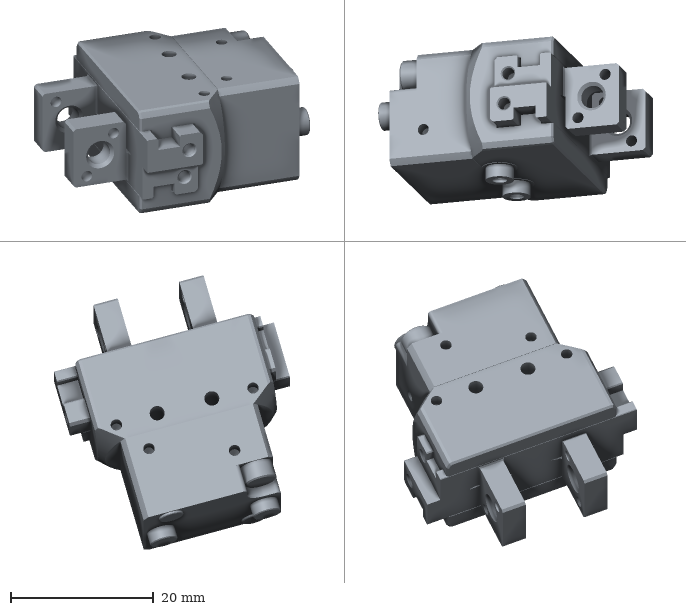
import cadquery as cq
import math


OVERALL_WIDTH = 32.0
OVERALL_DEPTH = 34.9
OVERALL_HEIGHT = 17.8

HEAD_WIDTH = 26.0
HEAD_DEPTH = 12.95
HEAD_HEIGHT = 15.85
HEAD_TURNED_RADIUS = 14.75
HEAD_BEVEL_WIDTH = 0.35
HEAD_BEVEL_HEIGHT = 0.1
FRONT_CHAMFER = 0.28
BLOCK_WIDTH = 19.95
BLOCK_HEIGHT = 16.0
BLOCK_TURNED_RADIUS = 12.25
REAR_Y = 24.95
TURNED_CHAMFER = HEAD_TURNED_RADIUS - BLOCK_TURNED_RADIUS

NOTCH_X = -7.5
NOTCH_Z = 5.48
NOTCH_RADIUS = 2.4
NOTCH_FRONT_Y = 20.97
NOTCH_EDGE_FILLET = 0.55
SCREW_RADIUS = 2.3
SCREW_LENGTH = 2.6
SCREW_CHAMFER = 0.2

PIN_RADIUS = 2.0
PIN_CHAMFER = 0.15
REAR_PIN_X = 7.5
THROUGH_X = 3.98
THROUGH_Y = 10.6
THROUGH_DIAMETER = 2.1
COLLAR_RADIUS = 2.5
SEAL_OFFSET = 6.0
SEAL_RADIUS = 1.75
SEAL_HEIGHT = 0.35
SEAL_CHAMFER = 0.1

BLIND_DIAMETER = 1.6
BLIND_DEPTH = 2.1
DRILL_TIP_ANGLE = 118
HEAD_HOLE_X = 9.95
HEAD_HOLE_Y = 10.7
BLOCK_HOLES = [(-5.0, 18.8), (6.5, 15.32)]
SIDE_HOLE_Y = 19.95
SIDE_HOLE_Z = -3.25

BAR_LENGTH = 30.0
BAR_HEIGHT = 5.03
BAR_DEPTH = 8.27
BAR_REAR_CHAMFER = 0.42
BAR_EDGE_CHAMFER = 0.17
BAR_FRONT_CHAMFER = 0.1
SLOT_FRONT_Y = 1.6
SLOT_REAR_Y = 4.85
SLOT_FLOOR_Z = 3.28
GUIDE_CLEARANCE = 0.17
BAR_HOLE_Y = 6.28
BAR_HOLE_DIAMETER = 1.75
BAR_HOLE_MOUTH = 2.13
BAR_HOLE_DEPTH = 2.8

FINGER_X = -6.25
FINGER_WIDTH = 3.52
FINGER_HEIGHT = 9.0
FINGER_CHAMFER = 0.35
FINGER_GAP = 0.28
FINGER_BORE_Y = -4.12
FINGER_BORE_DIAMETER = 3.28
FINGER_BORE_MOUTH = 4.2
DOWEL_DIAMETER = 1.6
DOWEL_OFFSET_Y = 2.0
DOWEL_OFFSET_Z = 3.0
ROOT_Z = 0.3
ROOT_CHAMFER = 0.2
SCOOP_RADIUS = 7.33
SCOOP_HALF_CHORD = 2.5

COLLAR_HEIGHT = (BLOCK_HEIGHT - HEAD_HEIGHT) / 2
SLEEVE_HEIGHT = OVERALL_HEIGHT - BLOCK_HEIGHT + COLLAR_HEIGHT
REAR_PIN_LENGTH = 1.8
FINGER_LENGTH = OVERALL_DEPTH - REAR_Y - REAR_PIN_LENGTH


def box(x0, x1, y0, y1, z0, z1):
    """Box between two opposite corners."""
    return cq.Workplane("XY").box(x1 - x0, y1 - y0, z1 - z0, centered=False).translate((x0, y0, z0))


def cylinder(radius, length, start, direction):
    """Cylinder from a start point along a direction."""
    return cq.Workplane(cq.Solid.makeCylinder(radius, length, cq.Vector(*start), cq.Vector(*direction)))


def cone(radius_start, radius_end, length, start, direction):
    """Truncated or pointed cone from a start point along a direction."""
    return cq.Workplane(
        cq.Solid.makeCone(radius_start, radius_end, length, cq.Vector(*start), cq.Vector(*direction))
    )


def drilled(diameter, depth, start, direction):
    """Cutter for a blind hole: a straight bore that ends in a drill tip."""
    radius = diameter / 2
    tip_length = radius / math.tan(math.radians(DRILL_TIP_ANGLE / 2))
    tip_start = [s + depth * d for s, d in zip(start, direction)]
    bore = cylinder(radius, depth, start, direction)
    return bore.union(cone(radius, 0, tip_length, tip_start, direction))


def countersink(mouth, diameter, start, direction):
    """Cutter for a 45 degree countersink."""
    return cone(mouth / 2, diameter / 2, (mouth - diameter) / 2, start, direction)


def head():
    """Wide front block, its corners turned about Y and its rear rim turned at 45 degrees."""
    half_width = HEAD_WIDTH / 2
    half_height = HEAD_HEIGHT / 2
    turned = cylinder(HEAD_TURNED_RADIUS, HEAD_DEPTH, (0, 0, 0), (0, 1, 0))
    turned = turned.faces(">Y").chamfer(TURNED_CHAMFER)
    body = box(-half_width, half_width, 0, HEAD_DEPTH, -half_height, half_height).intersect(turned)

    edge_x = math.sqrt(HEAD_TURNED_RADIUS**2 - half_height**2)
    flat_x = edge_x - HEAD_BEVEL_WIDTH
    bevel_slope = HEAD_BEVEL_HEIGHT / HEAD_BEVEL_WIDTH
    outer_z = half_height - bevel_slope * (half_width - flat_x)
    bevelled = (
        cq.Workplane("XZ")
        .polyline([
            (-flat_x, half_height), (flat_x, half_height), (half_width, outer_z), (half_width, -outer_z),
            (flat_x, -half_height), (-flat_x, -half_height), (-half_width, -outer_z), (-half_width, outer_z),
        ])
        .close()
        .extrude(-HEAD_DEPTH)
    )
    return body.intersect(bevelled).faces("<Y").chamfer(FRONT_CHAMFER)


def rear_block():
    """Narrow rear block with its long corners turned about Y."""
    turned = cylinder(BLOCK_TURNED_RADIUS, REAR_Y, (0, 0, 0), (0, 1, 0))
    half_width = BLOCK_WIDTH / 2
    half_height = BLOCK_HEIGHT / 2
    block = box(-half_width, half_width, HEAD_DEPTH, REAR_Y, -half_height, half_height)
    return block.intersect(turned)


def notch():
    """Cutter for the rear corner notch: rounded inner corner and rolled-over outer edges."""
    side_x = -BLOCK_WIDTH / 2
    top_z = BLOCK_HEIGHT / 2
    wall_x = NOTCH_X + NOTCH_RADIUS
    floor_z = NOTCH_Z - NOTCH_RADIUS
    bend = NOTCH_RADIUS * math.sqrt(0.5)
    roll = NOTCH_EDGE_FILLET
    roll_mid = roll * (1 - math.sqrt(0.5))
    return (
        cq.Workplane("XZ", origin=(0, NOTCH_FRONT_Y, 0))
        .moveTo(side_x, top_z)
        .lineTo(side_x, floor_z - roll)
        .threePointArc((side_x + roll_mid, floor_z - roll_mid), (side_x + roll, floor_z))
        .lineTo(NOTCH_X, floor_z)
        .threePointArc((NOTCH_X + bend, NOTCH_Z - bend), (wall_x, NOTCH_Z))
        .lineTo(wall_x, top_z - roll)
        .threePointArc((wall_x + roll_mid, top_z - roll_mid), (wall_x + roll, top_z))
        .close()
        .extrude(NOTCH_FRONT_Y - REAR_Y)
    )


def jaw_guide():
    """Cutter for the channel across the head, leaving a tongue for each jaw slot."""
    half_width = HEAD_WIDTH / 2
    channel = box(-half_width, half_width, 0, BAR_DEPTH, -BAR_HEIGHT, BAR_HEIGHT)
    tongue_tip = SLOT_FLOOR_Z + GUIDE_CLEARANCE
    tongue_front = SLOT_FRONT_Y + GUIDE_CLEARANCE
    tongue_rear = SLOT_REAR_Y - GUIDE_CLEARANCE
    for bottom, top in [(tongue_tip, BAR_HEIGHT), (-BAR_HEIGHT, -tongue_tip)]:
        channel = channel.cut(box(-half_width, half_width, tongue_front, tongue_rear, bottom, top))
    return channel


def make_housing():
    body = head().union(rear_block()).cut(notch()).cut(jaw_guide())

    screw = cylinder(SCREW_RADIUS, SCREW_LENGTH, (NOTCH_X, NOTCH_FRONT_Y, NOTCH_Z), (0, 1, 0))
    body = body.union(screw.faces(">Y").chamfer(SCREW_CHAMFER))

    for side in (-1, 1):
        pin = cylinder(PIN_RADIUS, REAR_PIN_LENGTH, (side * REAR_PIN_X, REAR_Y, 0), (0, 1, 0))
        body = body.union(pin.faces(">Y").chamfer(PIN_CHAMFER))
        seal_start = (side * SEAL_OFFSET, REAR_Y, side * SEAL_OFFSET)
        seal = cylinder(SEAL_RADIUS, SEAL_HEIGHT, seal_start, (0, 1, 0))
        body = body.union(seal.faces(">Y").chamfer(SEAL_CHAMFER))

    head_bottom = -HEAD_HEIGHT / 2
    for x in (-THROUGH_X, THROUGH_X):
        start = (x, THROUGH_Y, head_bottom)
        sleeve = cylinder(PIN_RADIUS, SLEEVE_HEIGHT, start, (0, 0, -1))
        body = body.union(cylinder(COLLAR_RADIUS, COLLAR_HEIGHT, start, (0, 0, -1)))
        body = body.union(sleeve)
        body = body.cut(
            cylinder(THROUGH_DIAMETER / 2, HEAD_HEIGHT + SLEEVE_HEIGHT,
                     (x, THROUGH_Y, head_bottom - SLEEVE_HEIGHT), (0, 0, 1))
        )

    for x in (-HEAD_HOLE_X, HEAD_HOLE_X):
        body = body.cut(drilled(BLIND_DIAMETER, BLIND_DEPTH, (x, HEAD_HOLE_Y, HEAD_HEIGHT / 2), (0, 0, -1)))
    for x, y in BLOCK_HOLES:
        body = body.cut(drilled(BLIND_DIAMETER, BLIND_DEPTH, (x, y, BLOCK_HEIGHT / 2), (0, 0, -1)))
    side_start = (-BLOCK_WIDTH / 2, SIDE_HOLE_Y, SIDE_HOLE_Z)
    return body.cut(drilled(BLIND_DIAMETER, BLIND_DEPTH, side_start, (1, 0, 0)))


def jaw_bar():
    """Slotted bar of the upper jaw, with a countersunk blind hole in each end."""
    right_x = OVERALL_WIDTH / 2
    left_x = right_x - BAR_LENGTH
    edge = BAR_EDGE_CHAMFER
    top = BAR_HEIGHT
    bar = (
        cq.Workplane("YZ", origin=(left_x, 0, 0))
        .polyline([
            (0, 0),
            (BAR_DEPTH - edge, 0),
            (BAR_DEPTH, edge),
            (BAR_DEPTH, top - BAR_REAR_CHAMFER),
            (BAR_DEPTH - BAR_REAR_CHAMFER, top),
            (SLOT_REAR_Y + edge, top),
            (SLOT_REAR_Y, top - edge),
            (SLOT_REAR_Y, SLOT_FLOOR_Z),
            (SLOT_FRONT_Y, SLOT_FLOOR_Z),
            (SLOT_FRONT_Y, top - edge),
            (SLOT_FRONT_Y - edge, top),
            (BAR_FRONT_CHAMFER, top),
            (0, top - BAR_FRONT_CHAMFER),
        ])
        .close()
        .extrude(BAR_LENGTH)
    )
    for x, inward in [(left_x, 1), (right_x, -1)]:
        start = (x, BAR_HOLE_Y, BAR_HEIGHT / 2)
        bar = bar.cut(drilled(BAR_HOLE_DIAMETER, BAR_HOLE_DEPTH, start, (inward, 0, 0)))
        bar = bar.cut(countersink(BAR_HOLE_MOUTH, BAR_HOLE_DIAMETER, start, (inward, 0, 0)))

    scoop_y = -math.sqrt(SCOOP_RADIUS**2 - SCOOP_HALF_CHORD**2)
    scoop = cone(SCOOP_RADIUS + ROOT_Z, SCOOP_RADIUS, ROOT_Z, (FINGER_X, scoop_y, 0), (0, 0, 1))
    return bar.cut(scoop)


def jaw_finger():
    """Finger plate: joined to the bar above its root line and set off from the other jaw below it."""
    left_x = FINGER_X - FINGER_WIDTH / 2
    half_height = FINGER_HEIGHT / 2
    chamfer = FINGER_CHAMFER
    finger = (
        cq.Workplane("YZ", origin=(left_x, 0, 0))
        .polyline([
            (0, half_height),
            (0, ROOT_Z),
            (-FINGER_GAP, ROOT_Z),
            (-FINGER_GAP, chamfer - half_height),
            (-FINGER_GAP - chamfer, -half_height),
            (chamfer - FINGER_LENGTH, -half_height),
            (-FINGER_LENGTH, chamfer - half_height),
            (-FINGER_LENGTH, half_height - chamfer),
            (chamfer - FINGER_LENGTH, half_height),
        ])
        .close()
        .extrude(FINGER_WIDTH)
    )

    root_half = FINGER_WIDTH / 2 + ROOT_CHAMFER
    root_top = half_height + ROOT_CHAMFER
    root = box(FINGER_X - root_half, FINGER_X + root_half, -ROOT_CHAMFER, ROOT_CHAMFER, ROOT_Z, root_top)
    finger = finger.union(root.faces("<Y").edges("not <Z").chamfer(ROOT_CHAMFER))

    for x, inward in [(left_x, 1), (left_x + FINGER_WIDTH, -1)]:
        start = (x, FINGER_BORE_Y, 0)
        finger = finger.cut(countersink(FINGER_BORE_MOUTH, FINGER_BORE_DIAMETER, start, (inward, 0, 0)))
    holes = [
        (FINGER_BORE_DIAMETER, FINGER_BORE_Y, 0),
        (DOWEL_DIAMETER, FINGER_BORE_Y - DOWEL_OFFSET_Y, DOWEL_OFFSET_Z),
        (DOWEL_DIAMETER, FINGER_BORE_Y + DOWEL_OFFSET_Y, -DOWEL_OFFSET_Z),
    ]
    for diameter, y, z in holes:
        finger = finger.cut(cylinder(diameter / 2, FINGER_WIDTH, (left_x, y, z), (1, 0, 0)))
    return finger


def make_jaw(turn):
    """One jaw, turned about Y: 0 degrees for the upper jaw, 180 for the lower."""
    return jaw_bar().union(jaw_finger()).rotate((0, 0, 0), (0, 1, 0), turn)


housing = make_housing()
jaws = [make_jaw(turn) for turn in (0, 180)]

result = cq.Compound.makeCompound([*housing.solids().vals(), *[jaw.solids().val() for jaw in jaws]])